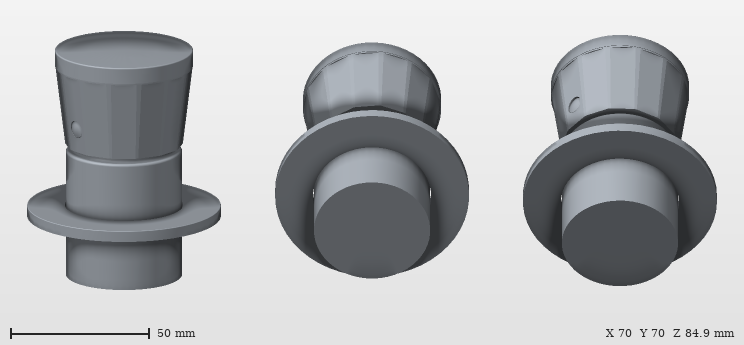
import cadquery as cq
import math

tube_radius = 21.0
tube_top_z = 47.0
tube_edge_fillet = 0.9
neck_top_z = 49.2
neck_top_radius = 17.3
neck_slope_deg = 25.0
neck_root_radius = 1.2

flange_radius = 35.0
flange_bottom_z = 22.0
flange_thickness = 4.0
flange_bore_radius = 21.3
flange_edge_fillet = 0.25

skirt_bottom_radius = 21.2
skirt_top_radius = 24.8
facet_count = 14
facet_bottom_apothem = 20.8
facet_top_apothem = 24.3
facet_top_z = 77.8

cap_radius = 25.0
cap_bottom_z = 78.4
cap_rim_z = 84.2
cap_edge_fillet = 0.5
overall_height = 84.9

button_radius = 3.2
button_center_z = 58.1
button_edge_round = 0.4
button_dome_rise = 0.5
button_face_inset = 0.2
button_depth = 2.55


def dome_midpoint(rim_radius, rise):
    """Radius and height above the rim of a point halfway across a spherical dome."""
    sphere_radius = (rim_radius**2 + rise**2) / (2 * rise)
    mid_radius = rim_radius / 2
    mid_drop = sphere_radius - math.sqrt(sphere_radius**2 - mid_radius**2)
    return mid_radius, rise - mid_drop


def make_body():
    """Turned tube; a concave root blends the tapered neck into the tube top."""
    slope = math.radians(neck_slope_deg)
    root_center_z = tube_top_z + neck_root_radius
    taper_end_z = root_center_z - neck_root_radius * math.sin(slope)
    taper_end_radius = neck_top_radius + (neck_top_z - taper_end_z) * math.tan(slope)
    root_center_radius = taper_end_radius + neck_root_radius * math.cos(slope)
    mid_angle = (math.pi / 2 + slope) / 2
    root_mid = (
        root_center_radius - neck_root_radius * math.cos(mid_angle),
        root_center_z - neck_root_radius * math.sin(mid_angle),
    )
    outer_edge_start = tube_radius - tube_edge_fillet
    edge_center_z = tube_top_z - tube_edge_fillet
    edge_mid_offset = tube_edge_fillet * math.sqrt(0.5)
    return (
        cq.Workplane("XZ")
        .lineTo(tube_radius, 0)
        .lineTo(tube_radius, edge_center_z)
        .threePointArc(
            (outer_edge_start + edge_mid_offset, edge_center_z + edge_mid_offset),
            (outer_edge_start, tube_top_z),
        )
        .lineTo(root_center_radius, tube_top_z)
        .threePointArc(root_mid, (taper_end_radius, taper_end_z))
        .lineTo(neck_top_radius, neck_top_z)
        .lineTo(0, neck_top_z)
        .close()
        .revolve(360, (0, 0, 0), (0, 1, 0))
    )


def make_flange():
    """Flat ring with a slightly clear bore around the tube."""
    return (
        cq.Workplane("XY")
        .workplane(offset=flange_bottom_z)
        .circle(flange_radius)
        .extrude(flange_thickness)
        .faces(">Z")
        .edges()
        .fillet(flange_edge_fillet)
        .faces(">Z")
        .workplane()
        .hole(2 * flange_bore_radius)
    )


def button_rim_y():
    """Y of the dome rim, slightly inside the front facet at the button center."""
    facet_slope = (facet_top_apothem - facet_bottom_apothem) / (facet_top_z - neck_top_z)
    facet_apothem = facet_bottom_apothem + facet_slope * (button_center_z - neck_top_z)
    return button_face_inset - facet_apothem


def button_plane():
    """Vertical plane through the button axis; local X is radial and local Y points out along -Y."""
    return cq.Plane(origin=(0, button_rim_y(), button_center_z), xDir=(1, 0, 0), normal=(0, 0, -1))


def make_button():
    """Horizontal round button with a rounded edge and a shallow domed face."""
    dome_radius = button_radius - button_edge_round
    edge_mid_offset = button_edge_round * math.sqrt(0.5)
    return (
        cq.Workplane(button_plane())
        .moveTo(0, -button_depth)
        .lineTo(button_radius, -button_depth)
        .lineTo(button_radius, -button_edge_round)
        .threePointArc(
            (dome_radius + edge_mid_offset, edge_mid_offset - button_edge_round),
            (dome_radius, 0),
        )
        .threePointArc(dome_midpoint(dome_radius, button_dome_rise), (0, button_dome_rise))
        .close()
        .revolve(360, (0, 0, 0), (0, 1, 0))
    )


def make_button_hole():
    """Blind horizontal bore that seats the button and opens through the sloping facet."""
    return (
        cq.Workplane("XZ", origin=(0, button_rim_y() + button_depth, button_center_z))
        .circle(button_radius)
        .extrude(2 * button_depth)
    )


def make_skirt():
    """Cone widening upward, cut by flat facets that stop just below its top."""
    cone = (
        cq.Workplane("XY")
        .workplane(offset=neck_top_z)
        .circle(skirt_bottom_radius)
        .workplane(offset=cap_bottom_z - neck_top_z)
        .circle(skirt_top_radius)
        .loft(ruled=True)
    )
    vertex_ratio = 1 / math.cos(math.pi / facet_count)
    facet_core = (
        cq.Workplane("XY")
        .workplane(offset=neck_top_z)
        .polygon(facet_count, 2 * facet_bottom_apothem * vertex_ratio)
        .workplane(offset=facet_top_z - neck_top_z)
        .polygon(facet_count, 2 * facet_top_apothem * vertex_ratio)
        .loft(ruled=True)
    )
    top_band = (
        cq.Workplane("XY")
        .workplane(offset=facet_top_z)
        .circle(cap_radius)
        .extrude(cap_bottom_z - facet_top_z)
    )
    return cone.intersect(facet_core.union(top_band)).cut(make_button_hole())


def make_cap():
    """Thick disc with a rounded rim and a shallow domed top."""
    rim_radius = cap_radius - cap_edge_fillet
    fillet_center_z = cap_rim_z - cap_edge_fillet
    edge_mid_offset = cap_edge_fillet * math.sqrt(0.5)
    dome_rise = overall_height - cap_rim_z
    dome_mid_radius, dome_mid_rise = dome_midpoint(rim_radius, dome_rise)
    return (
        cq.Workplane("XZ")
        .moveTo(0, cap_bottom_z)
        .lineTo(cap_radius, cap_bottom_z)
        .lineTo(cap_radius, fillet_center_z)
        .threePointArc(
            (rim_radius + edge_mid_offset, fillet_center_z + edge_mid_offset),
            (rim_radius, cap_rim_z),
        )
        .threePointArc((dome_mid_radius, cap_rim_z + dome_mid_rise), (0, overall_height))
        .close()
        .revolve(360, (0, 0, 0), (0, 1, 0))
    )


body = make_body()
flange = make_flange()
skirt = make_skirt()
cap = make_cap()
button = make_button()

result = cq.Compound.makeCompound(
    [body.val(), flange.val(), skirt.val(), cap.val(), button.val()]
)